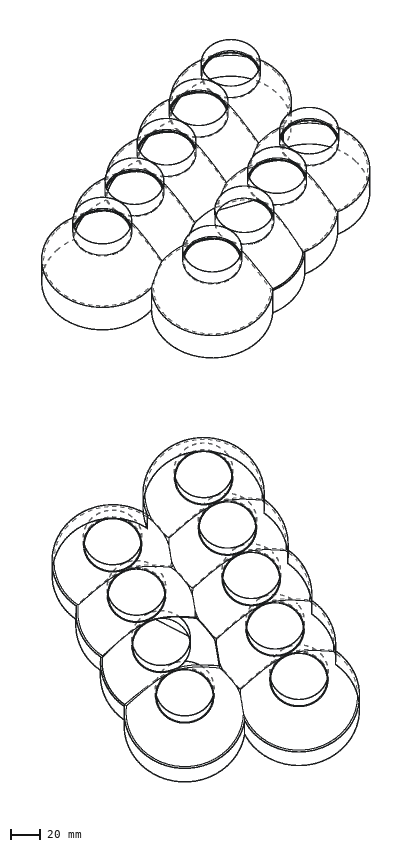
import cadquery as cq
import math

overall_length = 245.5
overall_width = 160.1
overall_height = 68.5

base_diameter = 83.3
base_height = 25.0
neck_height = 12.5
neck_diameter = 40.5
neck_bore = 40.0
throat_bore = 38.5
neck_seat_depth = 1.2
base_wall = 0.2
cone_wall = 1.5

long_row_count = 5
short_row_count = 4
inward_shift = 0.5
open_hood = 1

cone_inset = 1.2
web_thickness = 0.2
web_start_angle = 101
web_end_angle = 184

base_radius = base_diameter / 2
neck_radius = neck_diameter / 2
bore_radius = neck_bore / 2
throat_radius = throat_bore / 2
shoulder_z = overall_height - neck_height
neck_seat_z = shoulder_z - neck_seat_depth
pitch = (overall_length - base_diameter) / (long_row_count - 1)
row_offset = (overall_width - base_diameter) / 2


def row_centers(x, count):
    """Hood axes of one row, centred on Y = 0."""
    return [(x, (i - (count - 1) / 2) * pitch) for i in range(count)]


def tapered_body(center, cylinder_radius, foot_radius, top_radius, top_z):
    """Solid cylinder of base height carrying a cone from foot_radius to top_radius."""
    profile = [
        (0, 0),
        (cylinder_radius, 0),
        (cylinder_radius, base_height),
        (foot_radius, base_height),
        (top_radius, top_z),
        (0, top_z),
    ]
    if foot_radius == cylinder_radius:
        profile.remove((foot_radius, base_height))
    body = cq.Workplane("XZ").polyline(profile).close().revolve(360, (0, 0), (0, 1))
    return body.translate((*center, 0))


def full_hood(center):
    return tapered_body(center, base_radius, base_radius, neck_radius, shoulder_z)


def half_open_hood(center):
    """Full base with an inset cone that exists only on the +X side of the axis."""
    foot_radius = base_radius - cone_inset
    body = tapered_body(center, base_radius, foot_radius, neck_radius, shoulder_z)
    missing_half = (
        cq.Workplane("XY")
        .box(base_diameter, base_diameter, shoulder_z, centered=(False, True, False))
        .translate((center[0] - base_diameter, center[1], base_height))
    )
    return body.cut(missing_half)


def cavity(center):
    """Inside space of a hood, open at the bottom and at the throat."""
    inside = tapered_body(center, base_radius - base_wall, base_radius - cone_wall, throat_radius, neck_seat_z)
    bore = cq.Workplane("XY", origin=(*center, neck_seat_z)).circle(bore_radius).extrude(neck_seat_depth)
    return inside.union(bore)


def neck(center):
    tube = cq.Workplane("XY", origin=(*center, neck_seat_z)).circle(neck_radius).circle(bore_radius)
    return tube.extrude(overall_height - neck_seat_z)


def neck_web(center):
    """Thin segment across the foot of the neck, bounded by a chord and the neck wall."""
    rim_radius = (neck_radius + bore_radius) / 2

    def rim_point(degrees):
        angle = math.radians(degrees)
        return (rim_radius * math.cos(angle), rim_radius * math.sin(angle))

    middle_angle = (web_start_angle + web_end_angle) / 2
    return (
        cq.Workplane("XY", origin=(*center, neck_seat_z))
        .moveTo(*rim_point(web_start_angle))
        .threePointArc(rim_point(middle_angle), rim_point(web_end_angle))
        .close()
        .extrude(web_thickness)
    )


long_row = row_centers(-row_offset, long_row_count)
short_row = row_centers(row_offset, short_row_count)
for i in range(open_hood + 1):
    x, y = short_row[i]
    short_row[i] = (x - inward_shift, y)
centers = long_row + short_row
open_center = short_row[open_hood]

body = half_open_hood(open_center)
for center in centers:
    if center != open_center:
        body = body.union(full_hood(center))

for center in centers:
    body = body.cut(cavity(center))
for center in centers:
    body = body.union(neck(center))

result = body.union(neck_web(open_center))